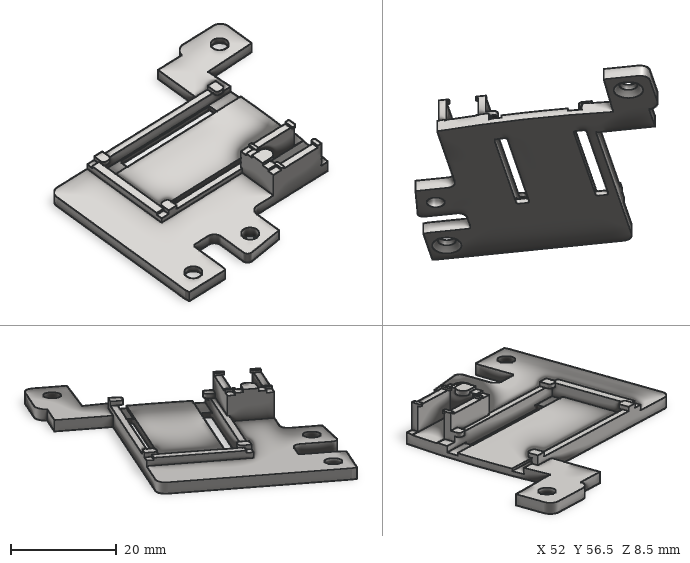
import cadquery as cq

PLATE_TOP = 2.3
LENGTH = 56.45
WIDTH = 52.0
BODY_LEFT = 13.4
BODY_RIGHT = 42.8
CORNER_R = 2.0
HOLE_D = 3.4
COUNTERSUNK_HOLES = [(4.65, 51.85), (48.4, 4.5)]
PLAIN_HOLES = [(47.65, 19.8)]
SINK_D = 5.55
SINK_DEPTH = 1.15

EAR_RIGHT = 8.5
EAR_ROOT_RIGHT = 8.85
EAR_BOTTOM = 44.5
EAR_ARC_TOP = 46.6
EAR_ARC_MIDDLE = (0.7, 45.15)
EAR_ROOT_LEFT = 2.05
EAR_ROOT_BOTTOM = 38.35

BACK_LEFT_Y = 44.9
BACK_CREST = (23.8, 45.4)
BACK_RIGHT_Y = 44.3

ARM_TOP = 24.45
ARM_TIP_TOP_X = 50.7
ARM_TIP_BOTTOM_X = 51.95
NOTCH_TOP = 15.25
NOTCH_BOTTOM = 9.6
ARM_ROOT_R = 1.7
ARM_TIP_R = 1.15
NOTCH_SMALL_R = 0.55
TIP_BEVEL_X = 1.0
TIP_BEVEL_Y = 0.15

TRAY_LEFT = 14.8
TRAY_RIGHT = 32.75
TRAY_FRONT = 11.4
TRAY_FLOOR = 1.0
PAD_LEFT = 17.5
PAD_RIGHT = 30.25
PAD_TOP = 1.5
RAIL_TOP = 3.45
RAIL_RIGHT = 34.1
RAIL_FRONT = 9.6
RAIL_BACK = 42.7
BAR_TOP = 3.9

CLIP_TOP = 4.35
CLIP_WIDTH = 2.1
CLIP_REACH = 1.2
CLIP_R = 0.8

SLOT_FRONT = 16.5
SLOT_BACK = 39.5
SLOT_LEDGE = 0.3
SLOT_R = 0.5

BOX_LEFT = 33.7
BOX_FRONT = 30.3
BOX_INNER_LEFT = 35.25
BOX_INNER_RIGHT = 41.35
BOX_INNER_FRONT = 32.35
BOX_FLOOR = 2.2
BOX_WALL_TOP = 7.5
BOX_CLIP_TOP = 7.95
BOX_CLIP_REACH = 0.5
BOX_CLIP_R = 0.35
FRONT_CLIP_WIDTH = 0.75
BACK_CLIP_WIDTH = 0.95

TONGUE_WIDTH = 3.0
TONGUE_BACK = 33.9
TONGUE_TOP = 8.5


def block(x0, x1, y0, y1, z0, z1):
    """Axis-aligned block between the given limits."""
    return cq.Workplane("XY").box(x1 - x0, y1 - y0, z1 - z0, centered=False).translate((x0, y0, z0))


def clip(x_outer, x_wall, reach, y0, width, z0, z1, tip_r):
    """Bar across a wall whose rounded tip reaches past the inner face of the wall."""
    direction = 1 if x_wall > x_outer else -1
    x_tip = x_wall + direction * reach
    bar = block(min(x_outer, x_tip), max(x_outer, x_tip), y0, y0 + width, z0, z1)
    return bar.edges("|Z and " + (">X" if direction > 0 else "<X")).fillet(tip_r)


def plate():
    outline = (
        cq.Workplane("XY")
        .moveTo(BODY_LEFT, 0)
        .lineTo(WIDTH - TIP_BEVEL_X, 0)
        .lineTo(WIDTH, TIP_BEVEL_Y)
        .lineTo(WIDTH, NOTCH_BOTTOM - TIP_BEVEL_Y)
        .lineTo(WIDTH - TIP_BEVEL_X, NOTCH_BOTTOM)
        .lineTo(BODY_RIGHT, NOTCH_BOTTOM)
        .lineTo(BODY_RIGHT, NOTCH_TOP)
        .lineTo(ARM_TIP_BOTTOM_X, NOTCH_TOP)
        .lineTo(ARM_TIP_TOP_X, ARM_TOP)
        .lineTo(BODY_RIGHT, ARM_TOP)
        .lineTo(BODY_RIGHT, BACK_RIGHT_Y)
        .threePointArc(BACK_CREST, (EAR_ROOT_RIGHT, BACK_LEFT_Y))
        .lineTo(EAR_RIGHT, LENGTH)
        .lineTo(0, LENGTH)
        .lineTo(0, EAR_ARC_TOP)
        .threePointArc(EAR_ARC_MIDDLE, (EAR_ROOT_LEFT, EAR_BOTTOM))
        .lineTo(EAR_ROOT_LEFT, EAR_ROOT_BOTTOM)
        .lineTo(BODY_LEFT, EAR_ROOT_BOTTOM)
        .close()
        .extrude(PLATE_TOP)
    )
    rounded_corners = [
        (BODY_LEFT, 0, CORNER_R),
        (0, LENGTH, CORNER_R),
        (BODY_RIGHT, ARM_TOP, ARM_ROOT_R),
        (BODY_RIGHT, NOTCH_TOP, ARM_ROOT_R),
        (BODY_RIGHT, NOTCH_BOTTOM, NOTCH_SMALL_R),
        (ARM_TIP_BOTTOM_X, NOTCH_TOP, ARM_TIP_R),
    ]
    for x, y, radius in rounded_corners:
        corner = cq.selectors.NearestToPointSelector((x, y, PLATE_TOP / 2))
        outline = outline.edges("|Z").edges(corner).fillet(radius)
    hole_places = COUNTERSUNK_HOLES + PLAIN_HOLES
    outline = outline.cut(
        cq.Workplane("XY").pushPoints(hole_places).circle(HOLE_D / 2).extrude(PLATE_TOP)
    )
    for x, y in COUNTERSUNK_HOLES:
        outline = outline.cut(underside_sink(x, y))
    return outline


def underside_sink(x, y):
    """Cone that widens a hole toward the underside of the plate."""
    cone = cq.Solid.makeCone(SINK_D / 2, HOLE_D / 2, SINK_DEPTH)
    return cq.Workplane(obj=cone.translate(cq.Vector(x, y, 0)))


def add_large_tray(body):
    body = body.cut(block(TRAY_LEFT, PAD_LEFT, TRAY_FRONT, LENGTH, TRAY_FLOOR, PLATE_TOP))
    body = body.cut(block(PAD_LEFT, PAD_RIGHT, TRAY_FRONT, LENGTH, PAD_TOP, PLATE_TOP))
    body = body.cut(block(PAD_RIGHT, TRAY_RIGHT, TRAY_FRONT, LENGTH, TRAY_FLOOR, PLATE_TOP))
    for x0, x1 in [(TRAY_LEFT + SLOT_LEDGE, PAD_LEFT), (PAD_RIGHT, TRAY_RIGHT)]:
        slot = block(x0, x1, SLOT_FRONT, SLOT_BACK, 0, PLATE_TOP)
        body = body.cut(slot.edges("|Z").fillet(SLOT_R))

    body = body.union(block(TRAY_LEFT, TRAY_RIGHT, RAIL_FRONT, TRAY_FRONT, PLATE_TOP, BAR_TOP))
    for x_outer, x_inner in [(BODY_LEFT, TRAY_LEFT), (RAIL_RIGHT, TRAY_RIGHT)]:
        x0, x1 = sorted((x_outer, x_inner))
        body = body.union(block(x0, x1, RAIL_FRONT, RAIL_BACK, PLATE_TOP, RAIL_TOP))
        for y0 in (TRAY_FRONT, RAIL_BACK - CLIP_WIDTH):
            body = body.union(
                clip(x_outer, x_inner, CLIP_REACH, y0, CLIP_WIDTH, RAIL_TOP, CLIP_TOP, CLIP_R)
            )
    return body


def add_box(body):
    body = body.union(block(BOX_LEFT, BODY_RIGHT, BOX_FRONT, RAIL_BACK, PLATE_TOP, BOX_WALL_TOP))
    body = body.union(
        block(BOX_INNER_LEFT, BOX_INNER_RIGHT, BOX_FRONT, BOX_INNER_FRONT, BOX_WALL_TOP, BOX_CLIP_TOP)
    )
    body = body.cut(
        block(
            BOX_INNER_LEFT, BOX_INNER_RIGHT,
            BOX_INNER_FRONT, LENGTH,
            BOX_FLOOR, BOX_WALL_TOP,
        )
    )
    clip_spans = [
        (BOX_INNER_FRONT, FRONT_CLIP_WIDTH),
        (RAIL_BACK - BACK_CLIP_WIDTH, BACK_CLIP_WIDTH),
    ]
    for x_outer, x_inner in [(BOX_LEFT, BOX_INNER_LEFT), (BODY_RIGHT, BOX_INNER_RIGHT)]:
        for y0, width in clip_spans:
            body = body.union(
                clip(x_outer, x_inner, BOX_CLIP_REACH, y0, width, BOX_WALL_TOP, BOX_CLIP_TOP, BOX_CLIP_R)
            )
    return body.union(tongue())


def tongue():
    """Round-ended tongue standing on the front wall and reaching into the box."""
    x_mid = (BOX_INNER_LEFT + BOX_INNER_RIGHT) / 2
    radius = TONGUE_WIDTH / 2
    return (
        cq.Workplane("XY", origin=(0, 0, BOX_WALL_TOP))
        .moveTo(x_mid - radius, BOX_FRONT)
        .lineTo(x_mid + radius, BOX_FRONT)
        .lineTo(x_mid + radius, TONGUE_BACK - radius)
        .threePointArc((x_mid, TONGUE_BACK), (x_mid - radius, TONGUE_BACK - radius))
        .close()
        .extrude(TONGUE_TOP - BOX_WALL_TOP)
    )


result = add_box(add_large_tray(plate()))